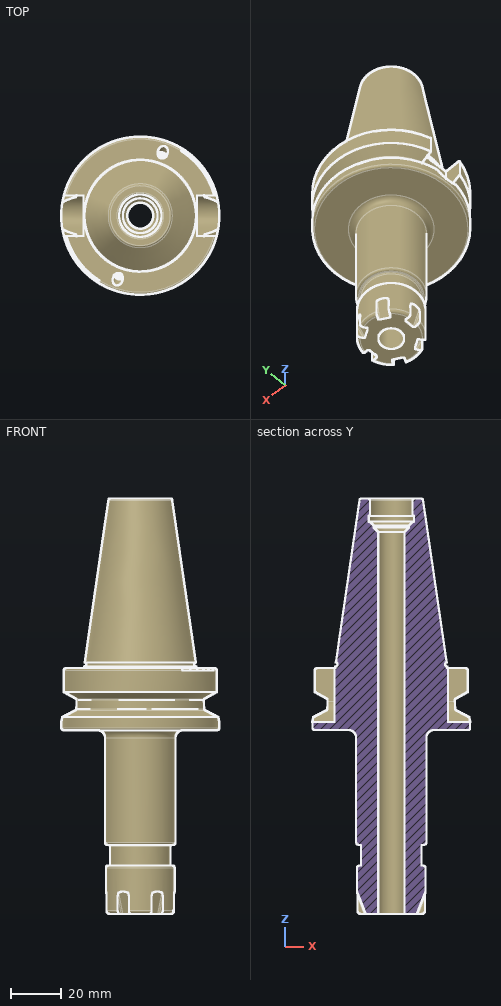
import cadquery as cq
import math


total_height = 165.4
gauge_height = 100.0
flange_top = 97.9
flange_bottom = 73.1
body_bottom = 27.5
nut_top = 19.4

taper_ratio = 7 / 24
gauge_radius = 22.2
taper_tip_radius = gauge_radius - (total_height - gauge_height) * taper_ratio / 2
tip_fillet = 0.8
foot_radius = 22.3
relief_depth = 0.7
relief_width = 1.5

flange_diameter = 63.0
flange_radius = flange_diameter / 2
flange_fillet = 1.0
groove_radius = 26.6
groove_center = 83.4
groove_floor_width = 4.3
groove_fillet = 0.5
groove_clearance = 1.7
groove_flank_angle = 30.0
groove_flank_height = (flange_radius - groove_radius) * math.tan(math.radians(groove_flank_angle))
groove_floor_top = groove_center + groove_floor_width / 2
groove_floor_bottom = groove_center - groove_floor_width / 2

body_radius = 14.0
body_fillet = 3.0
neck_radius = 12.0
nut_radius = 13.7
nut_bottom_fillet = 1.3
neck_fillet = 0.5
edge_fillet = 1.0

drive_slot_count = 2
drive_slot_width = 16.2
drive_slot_bottom = 76.4
drive_slot_floor = 22.7

wrench_slot_count = 6
wrench_slot_width = 5.1
wrench_slot_height = 9.0
wrench_slot_depth = 3.5
wrench_slot_fillet = 0.5

through_radius = 5.1
thread_radius = 7.0
counterbore_radius = 8.5
counterbore_depth = 9.3
undercut_radius = 9.0
undercut_width = 2.3
bore_fillet = 0.8
thread_cone = counterbore_radius - thread_radius
thread_length = 0.8
through_cone = thread_radius - through_radius

coolant_hole_count = 2
coolant_circle_radius = 26.8
coolant_angle = 70.5
coolant_tilt = 38.0
coolant_radius = 2.0
coolant_depth = 2.6
coolant_port_radius = 1.2
coolant_port_depth = 4.0


def revolved_body():
    """Solid of revolution with the taper, flange, body, neck and nut."""
    tip_slope_radius = taper_tip_radius + tip_fillet * taper_ratio / 2
    relief_bottom = gauge_height - relief_width
    relief_middle = (gauge_radius - relief_depth, gauge_height - relief_width / 2)
    profile = (
        cq.Workplane("XZ")
        .moveTo(0, 0)
        .lineTo(nut_radius - nut_bottom_fillet, 0)
        .radiusArc((nut_radius, nut_bottom_fillet), -nut_bottom_fillet)
        .lineTo(nut_radius, nut_top - edge_fillet)
        .radiusArc((nut_radius - edge_fillet, nut_top), -edge_fillet)
        .lineTo(neck_radius, nut_top)
        .lineTo(neck_radius, body_bottom - neck_fillet)
        .radiusArc((neck_radius + neck_fillet, body_bottom), neck_fillet)
        .lineTo(body_radius - edge_fillet, body_bottom)
        .radiusArc((body_radius, body_bottom + edge_fillet), -edge_fillet)
        .lineTo(body_radius, flange_bottom - body_fillet)
        .radiusArc((body_radius + body_fillet, flange_bottom), body_fillet)
        .lineTo(flange_radius - flange_fillet, flange_bottom)
        .radiusArc((flange_radius, flange_bottom + flange_fillet), -flange_fillet)
        .lineTo(flange_radius, flange_top - flange_fillet)
        .radiusArc((flange_radius - flange_fillet, flange_top), -flange_fillet)
        .lineTo(foot_radius, flange_top)
        .lineTo(foot_radius, relief_bottom)
        .threePointArc(relief_middle, (gauge_radius, gauge_height))
        .lineTo(tip_slope_radius, total_height - tip_fillet)
        .radiusArc((tip_slope_radius - tip_fillet, total_height), -tip_fillet)
        .lineTo(0, total_height)
        .close()
    )
    return profile.revolve(360, (0, 0), (0, 1))


def flange_groove():
    """V-groove ring around the flange, rounded where the flanks meet the floor."""
    mouth_top = groove_floor_top + groove_flank_height
    mouth_bottom = groove_floor_bottom - groove_flank_height
    clear_radius = flange_radius + groove_clearance
    outer_disc = (
        cq.Workplane("XY", origin=(0, 0, mouth_bottom))
        .circle(clear_radius)
        .extrude(mouth_top - mouth_bottom)
    )
    spool_profile = (
        cq.Workplane("XZ")
        .moveTo(0, mouth_bottom)
        .lineTo(flange_radius, mouth_bottom)
        .lineTo(groove_radius, groove_floor_bottom)
        .lineTo(groove_radius, groove_floor_top)
        .lineTo(flange_radius, mouth_top)
        .lineTo(0, mouth_top)
        .close()
    )
    floor_edges = cq.selectors.BoxSelector(
        (-clear_radius, -clear_radius, groove_floor_bottom - groove_fillet),
        (clear_radius, clear_radius, groove_floor_top + groove_fillet),
    )
    spool = spool_profile.revolve(360, (0, 0), (0, 1))
    spool = spool.edges(floor_edges).edges("%CIRCLE").fillet(groove_fillet)
    return outer_disc.cut(spool)


def bore():
    """Stepped bore along the axis, opening at the taper tip."""
    counterbore_bottom = total_height - counterbore_depth
    undercut_top = counterbore_bottom + undercut_width
    thread_top = counterbore_bottom - thread_cone
    thread_bottom = thread_top - thread_length
    profile = (
        cq.Workplane("XZ")
        .moveTo(0, 0)
        .lineTo(through_radius, 0)
        .lineTo(through_radius, thread_bottom - through_cone)
        .lineTo(thread_radius, thread_bottom)
        .lineTo(thread_radius, thread_top)
        .lineTo(counterbore_radius, counterbore_bottom)
        .lineTo(undercut_radius, counterbore_bottom)
        .lineTo(undercut_radius, undercut_top)
        .lineTo(counterbore_radius, undercut_top)
        .lineTo(counterbore_radius, total_height - bore_fillet)
        .radiusArc((counterbore_radius + bore_fillet, total_height), bore_fillet)
        .lineTo(0, total_height)
        .close()
    )
    return profile.revolve(360, (0, 0), (0, 1))


def drive_slot():
    """Round-bottomed drive slot on the +X side of the flange."""
    half_width = drive_slot_width / 2
    arc_height = drive_slot_bottom + half_width
    return (
        cq.Workplane("YZ", origin=(drive_slot_floor, 0, 0))
        .moveTo(-half_width, flange_top)
        .lineTo(-half_width, arc_height)
        .threePointArc((0, drive_slot_bottom), (half_width, arc_height))
        .lineTo(half_width, flange_top)
        .close()
        .extrude(flange_radius)
    )


def wrench_slot():
    """Wrench slot on the +X side of the nut, its floor sloping out to the rim at the top."""
    outer_radius = 2 * nut_radius
    slope = wrench_slot_height / wrench_slot_depth
    floor_start = nut_radius - wrench_slot_depth
    wedge = (
        cq.Workplane("XZ")
        .moveTo(floor_start, 0)
        .lineTo(outer_radius, (outer_radius - floor_start) * slope)
        .lineTo(outer_radius, 0)
        .close()
        .extrude(wrench_slot_width / 2, both=True)
    )
    floor_edges = wedge.edges("not (|X or |Y or |Z)")
    return floor_edges.fillet(wrench_slot_fillet)


def coolant_hole():
    """Stepped hole entering the flange on the +X side and leaning toward the axis."""
    tilt = math.radians(coolant_tilt)
    entry = cq.Vector(coolant_circle_radius, 0, flange_top)
    inward = cq.Vector(-math.sin(tilt), 0, -math.cos(tilt))
    start = entry - inward * coolant_radius
    hole = cq.Solid.makeCylinder(coolant_radius, coolant_depth + coolant_radius, start, inward)
    port = cq.Solid.makeCylinder(coolant_port_radius, coolant_port_depth, entry, inward)
    return cq.Workplane(hole).union(cq.Workplane(port))


def cut_around_axis(part, cutter, count, first_angle=0.0):
    """Cut copies of the cutter evenly spaced around the Z axis."""
    for index in range(count):
        angle = first_angle + index * 360 / count
        part = part.cut(cutter.rotate((0, 0, 0), (0, 0, 1), angle))
    return part


result = revolved_body().cut(flange_groove()).cut(bore())
result = cut_around_axis(result, drive_slot(), drive_slot_count)
result = cut_around_axis(result, wrench_slot(), wrench_slot_count)
result = cut_around_axis(result, coolant_hole(), coolant_hole_count, coolant_angle)